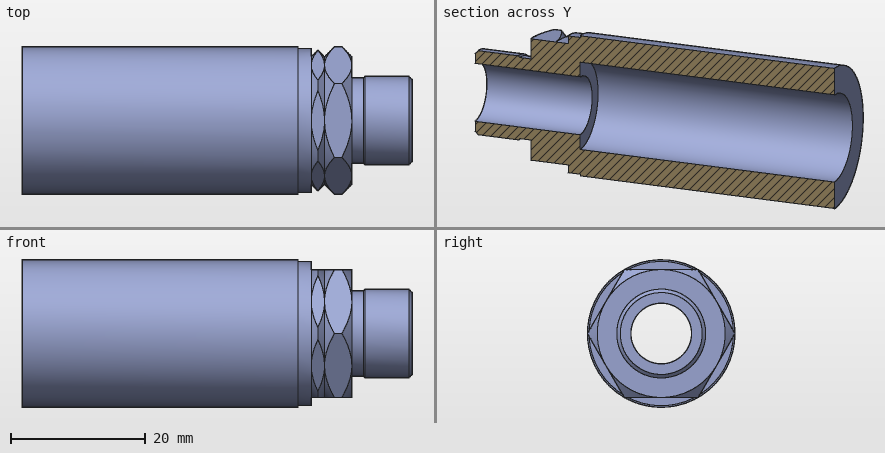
import cadquery as cq
import math

total_length = 58.0

sleeve_end = 41.0
collar_end = 43.0
lock_nut_end = 44.95
main_nut_end = 49.0
neck_end = 50.75

sleeve_diameter = 22.0
collar_diameter = 21.45
neck_diameter = 12.75
spigot_diameter = 13.2

across_flats = 19.0
across_corners = across_flats / math.cos(math.pi / 6)

entry_chamfer = (spigot_diameter - neck_diameter) / 2
tip_chamfer = 0.5

sleeve_bore_diameter = 13.6
through_bore_diameter = 9.0


def cylinder(start, end, diameter):
    """Solid cylinder on the X axis between two stations."""
    return cq.Workplane("YZ", origin=(start, 0, 0)).circle(diameter / 2).extrude(end - start)


def hex_nut(start, end):
    """Hexagon whose corners are cut at 45 degrees down to the inscribed circle at both ends."""
    width = end - start
    end_radius = across_flats / 2
    ridge_radius = end_radius + width / 2
    prism = (
        cq.Workplane("YZ", origin=(start, 0, 0))
        .polygon(6, across_corners)
        .extrude(width)
    )
    double_cone = (
        cq.Workplane("XY")
        .moveTo(start, 0)
        .lineTo(start, end_radius)
        .lineTo(start + width / 2, ridge_radius)
        .lineTo(end, end_radius)
        .lineTo(end, 0)
        .close()
        .revolve(360, (0, 0, 0), (1, 0, 0))
    )
    return prism.intersect(double_cone)


def threaded_spigot():
    """Plain cylinder at thread size, chamfered at the neck and at the tip."""
    spigot = cylinder(neck_end, total_length, spigot_diameter)
    return spigot.faces("<X").chamfer(entry_chamfer).faces(">X").chamfer(tip_chamfer)


sleeve = cylinder(0, sleeve_end, sleeve_diameter)
collar = cylinder(sleeve_end, collar_end, collar_diameter)
lock_nut = hex_nut(collar_end, lock_nut_end)
main_nut = hex_nut(lock_nut_end, main_nut_end)
neck = cylinder(main_nut_end, neck_end, neck_diameter)

body = sleeve.union(collar).union(lock_nut).union(main_nut).union(neck).union(threaded_spigot())

sleeve_bore = cylinder(0, sleeve_end, sleeve_bore_diameter)
through_bore = cylinder(0, total_length, through_bore_diameter)

result = body.cut(sleeve_bore).cut(through_bore)